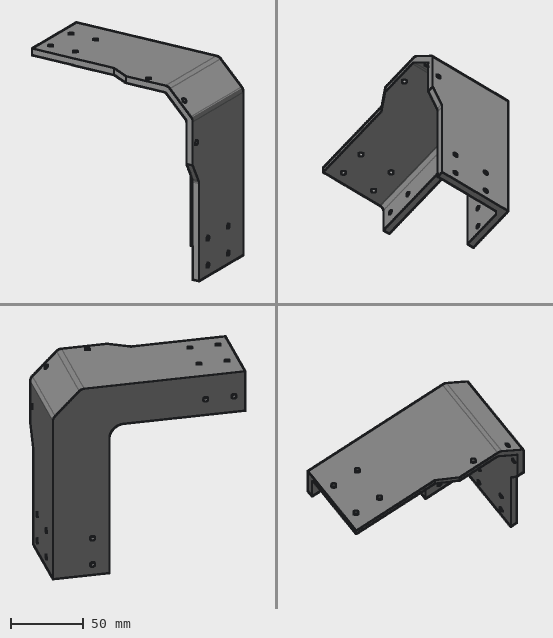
import cadquery as cq
import math

length_x = 136.0
depth_y = 65.0
height_z = 142.8
wall = 5.1

bend_angle = 45.0
corner_cut = 20.0
bend_radius = 5.0
inner_fillet = 3.0

top_arm_height = 30.1
side_arm_width = 40.0
elbow_radius = 10.0

step_depth = 8.1
step_start = 54.3
step_end = 69.3
step_radius = 5.0

hole_diameter = 3.4
end_offset = 8.0
hole_pitch = 20.0
plate_hole_inset = 12.0
wall_hole_back = 19.4
wall_hole_pitch = 26.0
front_hole_inset = 5.0
front_hole_offset = 39.1

pocket_diameter = 16.4
pocket_depth = wall / 2
pocket_from_back = 25.0
pocket_from_top = 33.7

arm_positions = [end_offset, end_offset + hole_pitch]
wall_hole_rows = [depth_y - wall_hole_back, depth_y - wall_hole_back - wall_hole_pitch]


def bend_edges():
    """Selector for the two bend edges near the cut-off corner."""
    reach = corner_cut + wall
    corner = (length_x, depth_y / 2, height_z)
    near = tuple(value - reach for value in corner)
    far = tuple(value + reach for value in corner)
    return cq.selectors.BoxSelector(near, far)


def outer_block():
    """Solid block with the outer corner cut off and both bends rounded."""
    block = (
        cq.Workplane("XZ")
        .polyline([
            (0, 0),
            (length_x, 0),
            (length_x, height_z - corner_cut),
            (length_x - corner_cut, height_z),
            (0, height_z),
        ])
        .close()
        .extrude(-depth_y)
    )
    return block.edges("|Y").edges(bend_edges()).fillet(bend_radius)


def inner_space():
    """Space enclosed by the walls and the back plate, with rounded edges."""
    bend_shift = wall * math.tan(math.radians(bend_angle / 2))
    inner_x = length_x - wall
    inner_z = height_z - wall
    bend_x = length_x - corner_cut - bend_shift
    bend_z = height_z - corner_cut - bend_shift
    space = (
        cq.Workplane("XZ")
        .polyline([
            (-length_x, -height_z),
            (inner_x, -height_z),
            (inner_x, bend_z),
            (bend_x, inner_z),
            (-length_x, inner_z),
        ])
        .close()
        .extrude(-(depth_y - wall))
    )
    space = space.edges("|Y").edges(bend_edges()).fillet(inner_fillet)
    return space.faces(">Y").edges().fillet(inner_fillet)


def elbow_opening():
    """Area left open by the L-shaped back plate, with a rounded elbow."""
    return (
        cq.Workplane("XY", origin=(0, depth_y - wall, 0))
        .box(length_x - side_arm_width, wall, height_z - top_arm_height, centered=False)
        .edges(">X and >Z")
        .fillet(elbow_radius)
    )


def top_step():
    """Material removed from the front edge of the top wall."""
    return (
        cq.Workplane("XY", origin=(0, 0, height_z - corner_cut))
        .polyline([
            (0, 0),
            (length_x - step_start, 0),
            (length_x - step_end, step_depth),
            (0, step_depth),
        ])
        .close()
        .extrude(corner_cut)
    )


def side_step():
    """Material removed from the front edge of the side wall."""
    lower_end = (length_x - corner_cut / 2, step_depth, height_z - step_end)
    return (
        cq.Workplane("YZ", origin=(length_x - corner_cut, 0, 0))
        .polyline([
            (0, 0),
            (0, height_z - step_start),
            (step_depth, height_z - step_end),
            (step_depth, 0),
        ])
        .close()
        .extrude(corner_cut)
        .edges(cq.selectors.NearestToPointSelector(lower_end))
        .fillet(step_radius)
    )


def drill(start, direction, diameter, depth):
    """Cylinder that cuts a round hole from a start point."""
    return cq.Workplane(
        cq.Solid.makeCylinder(diameter / 2, depth, cq.Vector(*start), cq.Vector(*direction))
    )


def screw_holes():
    """All screw holes as (start point, direction), starting on the outer faces."""
    into_plate, into_top, into_side = (0, -1, 0), (0, 0, -1), (-1, 0, 0)
    holes = []
    for along in arm_positions:
        holes.append(((along, depth_y, height_z - top_arm_height + plate_hole_inset), into_plate))
        holes.append(((length_x - side_arm_width + plate_hole_inset, depth_y, along), into_plate))
        for row in wall_hole_rows:
            holes.append(((along, row, height_z), into_top))
            holes.append(((length_x, row, along), into_side))
    holes.append(((length_x - front_hole_offset, front_hole_inset, height_z), into_top))
    holes.append(((length_x, front_hole_inset, height_z - front_hole_offset), into_side))
    cut_middle = (length_x - corner_cut / 2, front_hole_inset, height_z - corner_cut / 2)
    holes.append((cut_middle, (-1, 0, -1)))
    return holes


result = outer_block().cut(inner_space()).cut(elbow_opening())
result = result.cut(top_step()).cut(side_step())

for start, direction in screw_holes():
    result = result.cut(drill(start, direction, hole_diameter, wall))

pocket_start = (length_x - wall, depth_y - pocket_from_back, height_z - pocket_from_top)
result = result.cut(drill(pocket_start, (1, 0, 0), pocket_diameter, pocket_depth))